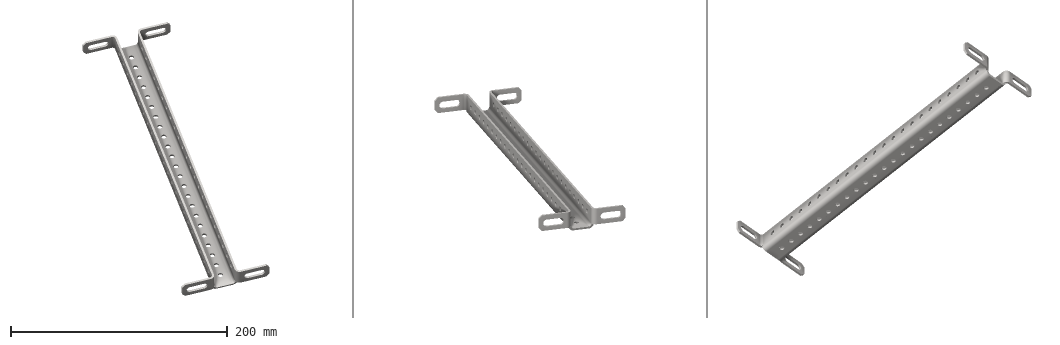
import cadquery as cq

length = 308.0
depth = 84.0
height = 20.0
channel_width = 24.0
sheet = 2.0
floor_bend = 4.5
tab_bend = 4.5
floor_setback = 3.5
bend_setback = 2.5
tab_chamfer = 2.93
hole_diameter = 4.5
hole_count = 23
hole_span = 275.0
hole_drop = 8.0
slot_length = 20.0
slot_width = 6.8
slot_inset = 14.2

half_length = length / 2
half_depth = depth / 2
half_width = channel_width / 2
wall_inside = half_width - sheet
bend_start = half_length - tab_bend
tab_height = height - floor_bend
hole_height = height - hole_drop
hole_pitch = hole_span / (hole_count - 1)


def channel_profile(width, bottom, radius):
    """Full-length block with its two lower long edges rounded."""
    block = cq.Workplane("XY").box(length, width, height - bottom, centered=(True, True, False))
    return block.translate((0, 0, bottom)).edges("|X and <Z").fillet(radius)


def make_channel():
    """U-shaped channel whose walls stop where the tab bends start.

    The floor and its bends run on past the walls to slightly sloping ends.
    """
    outer = channel_profile(channel_width, 0, floor_bend)
    inner = channel_profile(channel_width - 2 * sheet, sheet, floor_bend - sheet)
    floor_end = half_length - floor_setback
    bend_end = half_length - bend_setback
    side_outline = (
        cq.Workplane("XZ")
        .polyline([
            (-floor_end, 0),
            (floor_end, 0),
            (bend_end, floor_bend),
            (bend_start, floor_bend),
            (bend_start, height),
            (-bend_start, height),
            (-bend_start, floor_bend),
            (-bend_end, floor_bend),
        ])
        .close()
        .extrude(channel_width, both=True)
    )
    return outer.cut(inner).intersect(side_outline)


def make_tab():
    """Slotted tab and its bend at the +X, +Y corner."""
    tab_start = wall_inside + tab_bend
    tab = (
        cq.Workplane("XY", origin=(0, 0, floor_bend))
        .moveTo(bend_start, wall_inside)
        .radiusArc((half_length, tab_start), -tab_bend)
        .lineTo(half_length, half_depth)
        .lineTo(half_length - sheet, half_depth)
        .lineTo(half_length - sheet, tab_start)
        .radiusArc((bend_start, half_width), tab_bend - sheet)
        .close()
        .extrude(tab_height)
        .edges("|X and >Y")
        .chamfer(tab_chamfer)
    )
    slot = (
        cq.Workplane("YZ", origin=(bend_start, 0, 0))
        .center(half_depth - slot_inset, hole_height)
        .slot2D(slot_length, slot_width)
        .extrude(2 * tab_bend)
    )
    return tab.cut(slot)


def hole_row(plane, row_height, reach):
    """Row of pins along X, reaching equally far to both sides of the plane."""
    return (
        cq.Workplane(plane)
        .center(0, row_height)
        .rarray(hole_pitch, 3, hole_count, 1)
        .circle(hole_diameter / 2)
        .extrude(reach, both=True)
    )


wall_holes = hole_row("XZ", hole_height, channel_width)
floor_holes = hole_row("XY", 0, height)

tab = make_tab()
tab_pair = tab.union(tab.mirror("XZ"))
result = make_channel().union(tab_pair).union(tab_pair.mirror("YZ"))
result = result.cut(wall_holes).cut(floor_holes)